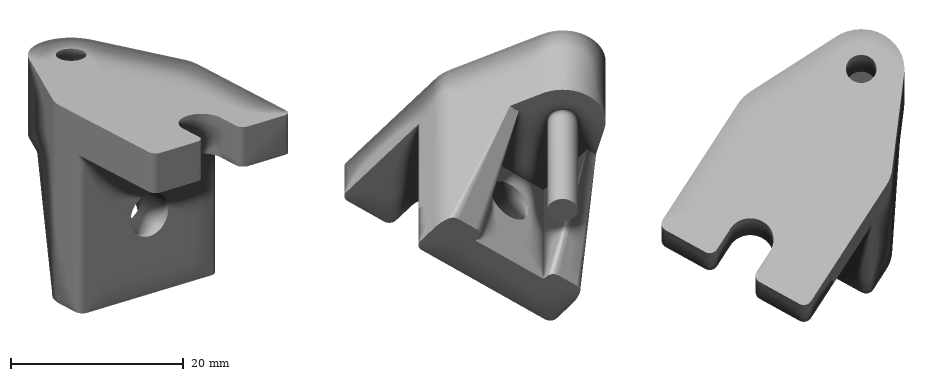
import cadquery as cq
import math

length = 34.0
width = 20.0
height = 25.0
half_width = width / 2

nose_radius = width / 4
shoulder_x = 15.0
shoulder_radius = 5.0
corner_radius = 1.0
slot_radius = 2.7
slot_center_x = 30.0

nose_thickness = 10.0
flange_thickness = nose_thickness / 2

leg_back_x = 20.0
pocket_half_width = width / 4
web_front_x = 15.0
slope_top_x = 6.8
slope_bottom_x = 13.5
blend_radius = 1.0
blend_start_scale = 0.01

pin_radius = 1.77
pin_hole_depth = flange_thickness
web_hole_radius = 2.72
web_hole_z = -15.0

shoulder_run = shoulder_x - nose_radius
flank_angle = (math.atan2(half_width, shoulder_run)
               - math.asin(nose_radius / math.hypot(shoulder_run, half_width)))
flank_start_x = nose_radius * (1 - math.sin(flank_angle))
flank_start_y = nose_radius * math.cos(flank_angle)


def flank_y(x):
    """Half width of the tapered outline at x."""
    return flank_start_y + (x - flank_start_x) * math.tan(flank_angle)


def box(x_min, x_max, depth_width, z_min, z_max):
    """Box centred on the XZ plane."""
    return (cq.Workplane("XY", origin=(0, 0, z_min))
            .moveTo((x_min + x_max) / 2, 0)
            .rect(x_max - x_min, depth_width)
            .extrude(z_max - z_min))


def outline_block(back_x):
    """Full-height block with a round nose, tapered flanks and a square back."""
    block = (cq.Workplane("XY", origin=(0, 0, -height))
             .moveTo(flank_start_x, flank_start_y)
             .lineTo(shoulder_x, half_width)
             .lineTo(back_x, half_width)
             .lineTo(back_x, -half_width)
             .lineTo(shoulder_x, -half_width)
             .lineTo(flank_start_x, -flank_start_y)
             .threePointArc((0, 0), (flank_start_x, flank_start_y))
             .close()
             .extrude(height))
    shoulders = cq.selectors.BoxSelector(
        (shoulder_x - 0.35, -width, -height), (shoulder_x + 0.35, width, 0))
    block = block.edges("|Z").edges(shoulders).fillet(shoulder_radius)
    return block


def flange():
    """Plate with an open slot whose mouth corners are rounded."""
    plate = outline_block(length).intersect(
        box(0, length, width, -flange_thickness, 0))
    slot = (box(slot_center_x, length, 2 * slot_radius, -height, 0)
            .union(cq.Workplane("XY").center(slot_center_x, 0)
                   .circle(slot_radius).extrude(-height)))
    return plate.cut(slot).edges("|Z and >X").fillet(corner_radius)


def slope_cutter():
    """Clears the space under the nose up to the sloping leg fronts."""
    return (cq.Workplane("XZ")
            .moveTo(0, -nose_thickness)
            .lineTo(slope_top_x, -nose_thickness)
            .lineTo(slope_bottom_x, -height)
            .lineTo(0, -height)
            .close()
            .extrude(half_width, both=True))


def blend_cutter(corner_y, wall_direction, inward):
    """Rounds an edge of the sloping leg front, tapering to nothing at its top.

    corner_y(x) is the edge's Y position, wall_direction the unit vector along
    the side wall, and inward the Y sign along the front face into the leg.
    """
    wall_x, wall_y = wall_direction
    corner_angle = math.acos(inward * wall_y)
    tangent_length = blend_radius / math.tan(corner_angle / 2)
    arc_distance = blend_radius / math.sin(corner_angle / 2) - blend_radius
    bisector_length = math.hypot(wall_x, wall_y + inward)
    middle = (arc_distance * wall_x / bisector_length,
              arc_distance * (wall_y + inward) / bisector_length)

    def section(scale):
        x = slope_top_x + scale * (slope_bottom_x - slope_top_x)
        y = corner_y(x)
        z = -nose_thickness - scale * (height - nose_thickness)
        return (cq.Workplane("XY", origin=(x, y, z))
                .lineTo(0, inward * tangent_length * scale)
                .threePointArc((middle[0] * scale, middle[1] * scale),
                               (wall_x * tangent_length * scale,
                                wall_y * tangent_length * scale))
                .close()
                .val())

    return cq.Workplane(cq.Solid.makeLoft([section(blend_start_scale), section(1)], True))


def body():
    """Nose, two sloping legs and the web between them."""
    solid = outline_block(leg_back_x).edges("|Z and >X").fillet(corner_radius)
    solid = solid.cut(slope_cutter())
    solid = solid.cut(box(0, web_front_x, 2 * pocket_half_width, -height, -nose_thickness))
    outer = blend_cutter(flank_y, (math.cos(flank_angle), math.sin(flank_angle)), -1)
    inner = blend_cutter(lambda x: pocket_half_width, (1, 0), 1)
    for cutter in (outer, inner):
        solid = solid.cut(cutter).cut(cutter.mirror("XZ"))
    web_hole = (cq.Workplane("YZ", origin=(web_front_x, 0, web_hole_z))
                .circle(web_hole_radius)
                .extrude(leg_back_x - web_front_x))
    return solid.cut(web_hole)


def pin_cylinder(z_min, z_max):
    return (cq.Workplane("XY", origin=(nose_radius, 0, z_min))
            .circle(pin_radius)
            .extrude(z_max - z_min))


result = (body()
          .union(flange())
          .union(pin_cylinder(-height, -pin_hole_depth))
          .cut(pin_cylinder(-pin_hole_depth, 0)))